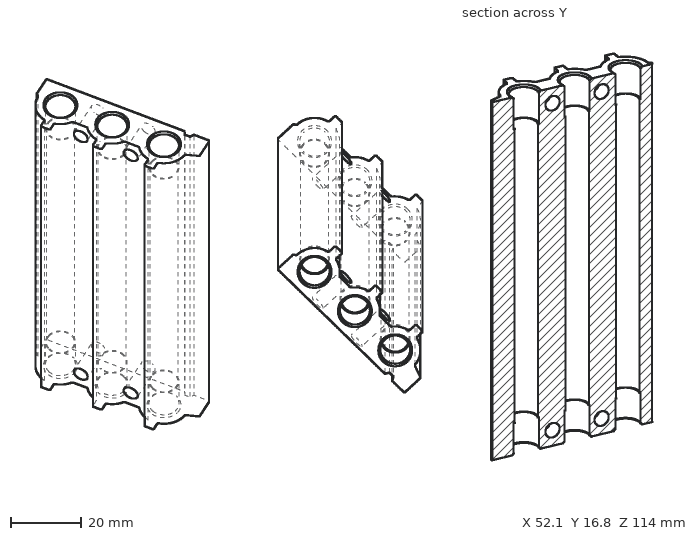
import cadquery as cq

length = 114.0
left_x = -24.5
right_x = 27.6
bore_to_back = 7.1
depth = 16.8
back_y = bore_to_back
tip_y = back_y - depth

bore_pitch = 16.5
bore_xs = [-bore_pitch, 0.0, bore_pitch]
bore_diameter = 8.0
port_diameter = 8.5
port_depth = 10.3
port_mouth_diameter = 9.7
port_chamfer = (port_mouth_diameter - port_diameter) / 2

lobe_radius = 7.2
valley_y = -4.1
side_wall_end_y = 0.6
step_inner_x = -23.4
step_inner_y = 0.2
wing_inner_x = 23.4
wing_inner_y = -0.9
tab_width = 3.0
edge_radius = 0.3

groove_x = 21.1
groove_mouth = 3.0
groove_floor = 1.7
groove_depth = 1.1

mount_diameter = 4.5
mount_x = 8.0
mount_end_distance = 5.0


def box_between(x_min, x_max, y_min, y_max):
    """Full-length bar between the given X and Y limits."""
    bar = cq.Workplane("XY").box(x_max - x_min, y_max - y_min, length, centered=False)
    return bar.translate((x_min, y_min, 0))


def make_core():
    """Flat back slab whose sides step in and end inside the outer lobes."""
    outline = [
        (left_x, back_y),
        (right_x, back_y),
        (right_x, side_wall_end_y),
        (wing_inner_x, wing_inner_y),
        (bore_pitch, valley_y),
        (-bore_pitch, valley_y),
        (step_inner_x, step_inner_y),
        (left_x, side_wall_end_y),
    ]
    return cq.Workplane("XY").polyline(outline).close().extrude(length)


def make_lobe(x):
    """Round wall around one bore."""
    return cq.Workplane("XY").center(x, 0).circle(lobe_radius).extrude(length)


def make_tab(x):
    """Thin rib standing on the front of a lobe."""
    return box_between(x - tab_width / 2, x + tab_width / 2, tip_y, 0)


def make_bore(x):
    """Through bore with a wider, chamfered port at each end."""
    middle = length / 2
    half_profile = [
        (0, 0),
        (port_mouth_diameter / 2, 0),
        (port_diameter / 2, port_chamfer),
        (port_diameter / 2, port_depth),
        (bore_diameter / 2, port_depth),
        (bore_diameter / 2, middle),
        (0, middle),
    ]
    lower = cq.Workplane("XZ").polyline(half_profile).close().revolve(360, (0, 0), (0, 1))
    upper = lower.mirror("XY", (0, 0, middle))
    return lower.union(upper).translate((x, 0, 0))


def make_groove():
    """Full-length groove with sloping sides."""
    outline = [
        (groove_x - groove_mouth / 2, back_y),
        (groove_x - groove_floor / 2, back_y - groove_depth),
        (groove_x + groove_floor / 2, back_y - groove_depth),
        (groove_x + groove_mouth / 2, back_y),
    ]
    return cq.Workplane("XY").polyline(outline).close().extrude(length)


def make_mount_holes():
    """Four holes right through the slab, front to back."""
    centres = [
        (x, z)
        for x in (-mount_x, mount_x)
        for z in (mount_end_distance, length - mount_end_distance)
    ]
    plane = cq.Workplane("XZ", origin=(0, back_y, 0))
    return plane.pushPoints(centres).circle(mount_diameter / 2).extrude(depth)


body = make_core()
for bore_x in bore_xs:
    body = body.union(make_lobe(bore_x)).union(make_tab(bore_x))

body = body.intersect(box_between(left_x, right_x, tip_y, back_y))

body = body.edges("|Z").fillet(edge_radius)

for bore_x in bore_xs:
    body = body.cut(make_bore(bore_x))

result = body.cut(make_groove()).cut(make_mount_holes())